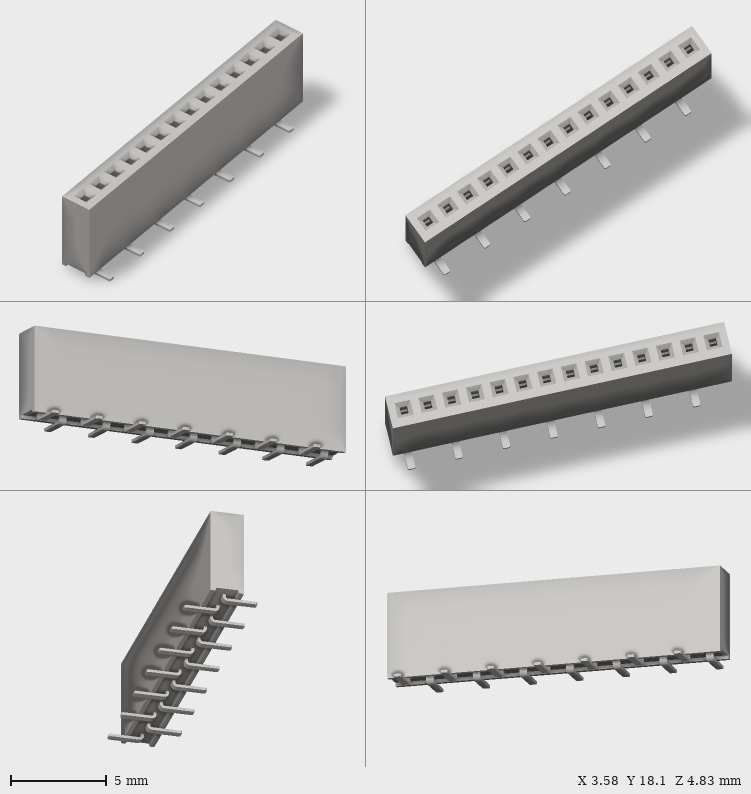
import cadquery as cq

contact_count = 14
pitch = 1.27
overall_width = 3.58
overall_height = 4.83

body_width = 1.80
body_length = 18.13
standoff = 0.20
body_height = overall_height - standoff

channel_depth = 0.17
channel_roof_width = 1.18
channel_mouth_width = 1.30
channel_roof_z = standoff + channel_depth

mouth_size = 0.84
bore_size = 0.40
lead_in_depth = (mouth_size - bore_size) / 2
bore_depth = 3.0
blade_gap = 0.16
blade_drop = 0.5

lead_thickness = 0.15
lead_width = 0.40
bend_inner_radius = 0.10
bend_outer_radius = bend_inner_radius + lead_thickness
tip_chamfer = 0.05
stem_embed = 0.2


def make_body():
    """Rectangular block with a channel along its underside."""
    block = cq.Workplane("XY").box(body_width, body_length, body_height, centered=(True, True, False))
    block = block.translate((0, 0, standoff))
    channel = (
        cq.Workplane("XZ")
        .moveTo(-channel_mouth_width / 2, standoff)
        .lineTo(-channel_roof_width / 2, channel_roof_z)
        .lineTo(channel_roof_width / 2, channel_roof_z)
        .lineTo(channel_mouth_width / 2, standoff)
        .close()
        .extrude(body_length / 2, both=True)
    )
    return block.cut(channel)


def make_socket(y):
    """Tapered lead-in, square bore above the blade tops, and the slot between the blades."""
    lead_in = (
        cq.Workplane("XY", origin=(0, y, overall_height))
        .rect(mouth_size, mouth_size)
        .workplane(offset=-lead_in_depth)
        .rect(bore_size, bore_size)
        .loft(ruled=True)
    )
    top = cq.Workplane("XY", origin=(0, y, overall_height))
    bore = top.rect(bore_size, bore_size).extrude(-(lead_in_depth + blade_drop))
    slot = top.rect(blade_gap, bore_size).extrude(-bore_depth)
    return lead_in.union(bore).union(slot)


def make_lead(y, side):
    """Stem under the body, bent outward into a flat foot; side is -1 or +1 along X."""
    half_stem = lead_thickness / 2
    stem_top_z = channel_roof_z + stem_embed
    tip_x = overall_width / 2
    profile = (
        cq.Workplane("XZ")
        .moveTo(-half_stem, stem_top_z)
        .lineTo(-half_stem, bend_outer_radius)
        .radiusArc((bend_outer_radius - half_stem, 0), -bend_outer_radius)
        .lineTo(tip_x, 0)
        .lineTo(tip_x, lead_thickness)
        .lineTo(half_stem + bend_inner_radius, lead_thickness)
        .radiusArc((half_stem, bend_outer_radius), bend_inner_radius)
        .lineTo(half_stem, stem_top_z)
        .close()
    )
    lead = profile.extrude(lead_width / 2, both=True)
    lead = lead.faces(">X").edges("|Z").chamfer(tip_chamfer)
    if side < 0:
        lead = lead.rotate((0, 0, 0), (0, 0, 1), 180)
    return lead.translate((0, y, 0))


result = make_body()
first_y = -pitch * (contact_count - 1) / 2
for index in range(contact_count):
    contact_y = first_y + index * pitch
    lead_side = 1 if index % 2 == 0 else -1
    result = result.cut(make_socket(contact_y))
    result = result.union(make_lead(contact_y, lead_side))